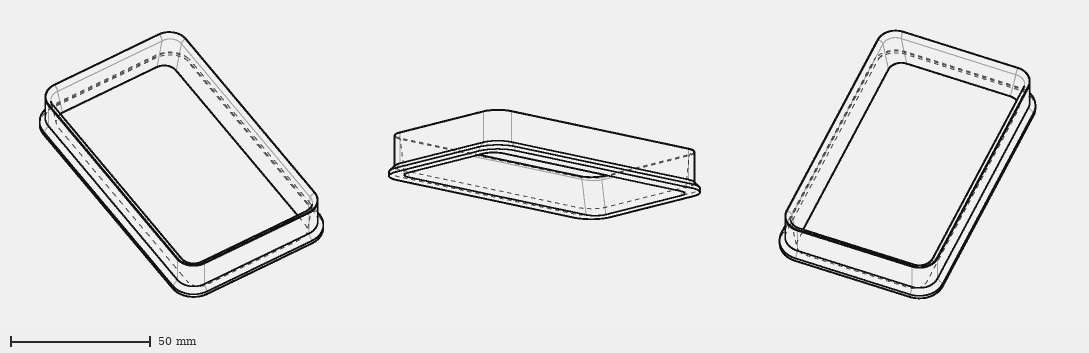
import cadquery as cq

base_length = 103.98
base_width = 62.39
height = 14.98

flange_overhang = 2.0
flange_rim_height = 1.5

wall_length = base_length - 2 * flange_overhang
wall_width = base_width - 2 * flange_overhang
wall_corner_radius = 7.0
flange_corner_radius = wall_corner_radius + flange_overhang

end_wall_thickness = 2.0
side_wall_thickness_top = 1.75
side_wall_thickness_bottom = 4.2
opening_length = wall_length - 2 * end_wall_thickness
opening_width_top = wall_width - 2 * side_wall_thickness_top
opening_width_bottom = wall_width - 2 * side_wall_thickness_bottom
opening_corner_radius = wall_corner_radius - end_wall_thickness

top_bevel = 0.2
top_round_radius = 1.75


def rounded_rectangle(length, width, corner_radius):
    return cq.Sketch().rect(length, width).vertices().fillet(corner_radius)


def loft_upwards(lower_outline, upper_outline, start_height, rise):
    raised_outline = upper_outline.moved(cq.Location(cq.Vector(0, 0, rise)))
    base_plane = cq.Workplane("XY", origin=(0, 0, start_height))
    return base_plane.placeSketch(lower_outline, raised_outline).loft()


def make_wall_block():
    outline = rounded_rectangle(wall_length, wall_width, wall_corner_radius)
    block = cq.Workplane("XY").placeSketch(outline).extrude(height)
    return block.faces(">Z").edges().chamfer(top_bevel)


def make_flange():
    base_outline = rounded_rectangle(base_length, base_width, flange_corner_radius)
    wall_outline = rounded_rectangle(wall_length, wall_width, wall_corner_radius)
    rim = cq.Workplane("XY").placeSketch(base_outline).extrude(flange_rim_height)
    slope = loft_upwards(base_outline, wall_outline, flange_rim_height, flange_overhang)
    return rim.union(slope)


def make_opening():
    """Through opening, wider at the top, with one corner radius along its full height."""
    bottom = rounded_rectangle(opening_length, opening_width_bottom, opening_corner_radius)
    top = rounded_rectangle(opening_length, opening_width_top, opening_corner_radius)
    return loft_upwards(bottom, top, 0, height)


def round_top_inner_edge(frame):
    top_face = frame.faces(">Z").val()
    inner_edges = top_face.innerWires()[0].Edges()
    return frame.newObject(inner_edges).fillet(top_round_radius)


frame = make_wall_block().union(make_flange()).cut(make_opening())
result = round_top_inner_edge(frame)